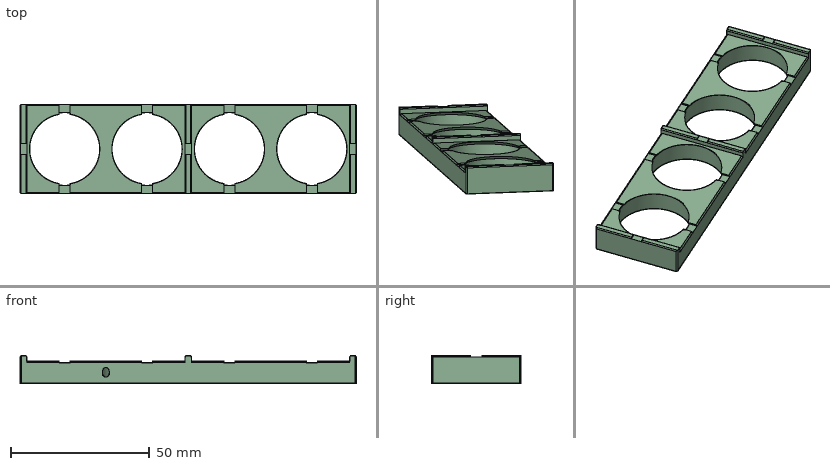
import cadquery as cq
length = 121.7
width = 32.3
plate_height = 8.0
ridge_rise = 2.0
total_height = plate_height + ridge_rise

ridge_width = 2.5
ridge_chamfer = 0.4

corner_chamfer = 0.5
plate_edge_chamfer = 0.5

hole_count = 4
hole_pitch = (length - ridge_width) / hole_count
mouth_diameter = 25.3
bore_diameter = 27.3
lip_height = (bore_diameter - mouth_diameter) / 2
hole_centres = [(i - (hole_count - 1) / 2) * hole_pitch for i in range(hole_count)]
ridge_centres = [-(length - ridge_width) / 2, 0.0, (length - ridge_width) / 2]

notch_width = 4.0
plate_notch_depth = plate_edge_chamfer
ridge_notch_depth = ridge_chamfer

side_hole_diameter = 2.5
side_hole_height = plate_height / 2
side_hole_tilt = 45.0
side_hole_x = (hole_centres[0] + hole_centres[1]) / 2
side_hole_reach = 20.0


def block(x_size, y_size, z_size, x_centre, z_bottom):
    """Box centred on the X axis line, standing on z_bottom."""
    box = cq.Workplane("XY").box(x_size, y_size, z_size, centered=(True, True, False))
    return box.translate((x_centre, 0, z_bottom))


def plate():
    """Base plate with its long top edges chamfered."""
    body = block(length, width, plate_height, 0, 0)
    return body.faces(">Z").edges("|X").chamfer(plate_edge_chamfer)


def ridge(x_centre):
    """Full-depth crossbar whose long top edges are chamfered."""
    bar = block(ridge_width, width, total_height, x_centre, 0)
    bar = bar.faces(">Z").edges("|Y").chamfer(ridge_chamfer)
    notch = block(ridge_width, notch_width, ridge_notch_depth, x_centre, total_height - ridge_notch_depth)
    return bar.cut(notch)


def plate_notch(x_centre):
    """Shallow slot across the plate, on the centre line of a large hole."""
    return block(notch_width, width, plate_notch_depth, x_centre, plate_height - plate_notch_depth)


def large_hole(x_centre):
    """Through bore that narrows at 45 degrees to a smaller mouth at the top."""
    bore_radius = bore_diameter / 2
    mouth_radius = mouth_diameter / 2
    outline = [
        (0, 0),
        (bore_radius, 0),
        (bore_radius, plate_height - lip_height),
        (mouth_radius, plate_height),
        (0, plate_height),
    ]
    profile = cq.Workplane("XZ").polyline(outline).close()
    return profile.revolve(360, (0, 0, 0), (0, 1, 0)).translate((x_centre, 0, 0))


def side_hole():
    """Cylinder entering the -Y face and running down towards the underside."""
    entry = (side_hole_x, -width / 2, side_hole_height)
    drill = cq.Workplane("XZ").circle(side_hole_diameter / 2).extrude(side_hole_reach / 2, both=True)
    return drill.rotate((0, 0, 0), (1, 0, 0), -side_hole_tilt).translate(entry)


body = plate()
for x in ridge_centres:
    body = body.union(ridge(x))
body = body.edges("|Z and (<X or >X)").chamfer(corner_chamfer)
for x in hole_centres:
    body = body.cut(plate_notch(x)).cut(large_hole(x))
result = body.cut(side_hole())